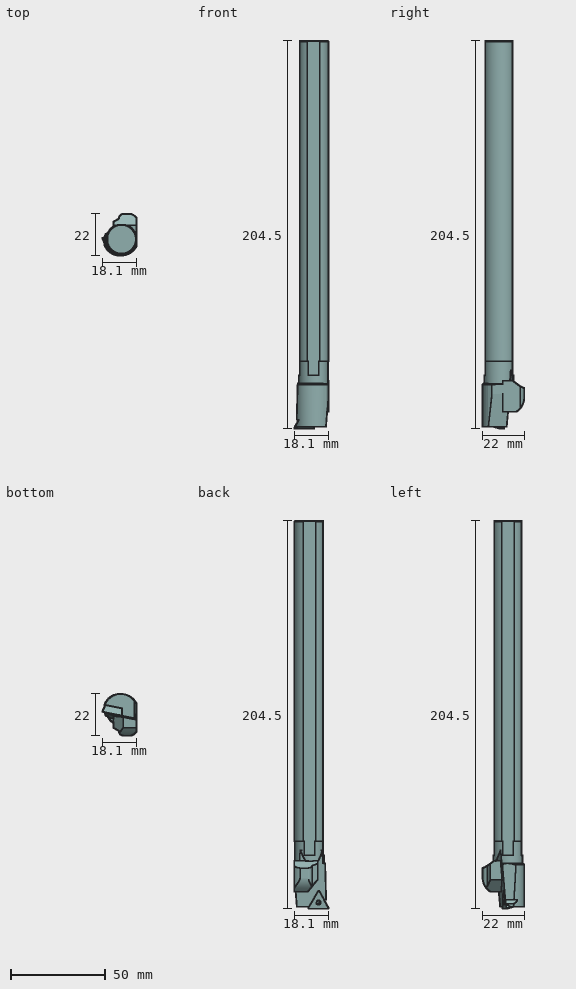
import cadquery as cq
import math

total_length = 204.5

shank_radius = 16.0 / 2
flat_distance = 14.5 / 2
shank_bottom = 35.5
top_chamfer = shank_radius - 15.1 / 2

neck_radius = 15.5 / 2
flat_bottom = 28.2
clamping_flat_angles = (90, 180, 270)

head_bottom = 1.0
head_top = 23.3
head_shoulder = 0.8
head_center_x = -0.8
head_radius = 17.4 / 2
heel_arc_middle = (2.7, -8.2)
heel_arc_end = (5.3, -6.7)
heel_facet_end = (6.5, -5.7)
heel_corner_y = -3.7
side_limit_x = 8.0
back_taper_start = 18.5
back_taper_inset = 1.33
front_flat_top_x = -8.4
front_flat_bottom_x = -9.0

tip_x = -10.5
tip_y = 0.6
rake_slope_x = 0.2
rake_slope_z = 0.08
pocket_end = 31.0
pocket_shoulder = 25.4
pocket_runout = 2.5
oversize = 24.5

lug_left = -4.3
overall_depth = 22.0
lug_top_y = overall_depth - head_radius
lug_base_y = 2.0
lug_left_end_y = 9.2
lug_slant_end = (-1.5, 10.8)
lug_left_round = (-0.6, 12.7)
lug_crest_start_x = 0.8
lug_crest_end_x = 5.0
lug_right_round = (6.7, 12.5)
lug_right_end_y = 11.2
lug_bottom = 9.0
lug_underside_y = 9.2
lug_belly = (12.5, 12.7)
lug_belly_top = 17.5
lug_crest_top = 21.5
lug_back = (10.2, 23.1)
lug_back_end_y = 7.4
undercut_top = 15.3
undercut_width = 5.1

insert_side = 11.5
corner_angle = math.radians(60)
insert_thickness = 3.9
insert_clearance = 11.0
insert_corner_radius = 0.5
insert_hole_diameter = 2.2
relief_top = 4.7
relief_wall_y = -5.0

rake_normal = cq.Vector(-rake_slope_x, 1, -rake_slope_z)
rake_along = cq.Vector(1, rake_slope_x, 0)
tip_point = (tip_x, tip_y, 0)
insert_plane = cq.Plane(origin=tip_point, xDir=rake_along, normal=-rake_normal)


def make_shank():
    shank = cq.Workplane().workplane(offset=shank_bottom).circle(shank_radius)
    shank = shank.extrude(total_length - shank_bottom).faces(">Z").chamfer(top_chamfer)
    neck = cq.Workplane().workplane(offset=head_top).circle(neck_radius).extrude(shank_bottom - head_top)
    body = shank.union(neck)
    for angle in clamping_flat_angles:
        flat = cq.Workplane().box(
            oversize, 2 * oversize, total_length, centered=(False, True, False)
        ).translate((flat_distance, 0, flat_bottom))
        body = body.cut(flat.rotate((0, 0, 0), (0, 0, 1), angle))
    return body


def make_head():
    round_part = (
        cq.Workplane().workplane(offset=head_bottom)
        .moveTo(head_center_x, head_radius)
        .threePointArc((head_center_x - head_radius, 0), (head_center_x, -head_radius))
        .threePointArc(heel_arc_middle, heel_arc_end)
        .lineTo(*heel_facet_end)
        .lineTo(side_limit_x, heel_corner_y)
        .lineTo(side_limit_x, head_radius)
        .close()
        .extrude(head_top - head_bottom)
    )
    shoulder = cq.Workplane(cq.Solid.makeCone(
        head_radius, neck_radius, head_shoulder, cq.Vector(head_center_x / 2, 0, head_top)
    ))
    side_limits = (
        cq.Workplane("XZ")
        .polyline([
            (front_flat_bottom_x, head_bottom),
            (side_limit_x - back_taper_inset, head_bottom),
            (side_limit_x, back_taper_start),
            (side_limit_x, head_top + head_shoulder),
            (front_flat_top_x, head_top + head_shoulder),
        ])
        .close()
        .extrude(oversize, both=True)
    )
    return round_part.union(shoulder).intersect(side_limits)


def make_chip_pocket():
    across = cq.Plane(origin=tip_point, xDir=rake_normal, normal=rake_along)
    return (
        cq.Workplane(across)
        .polyline([
            (0, -oversize),
            (0, pocket_end),
            (pocket_runout, pocket_shoulder),
            (oversize, pocket_shoulder),
            (oversize, -oversize),
        ])
        .close()
        .extrude(2 * oversize, both=True)
    )


def make_lug():
    plan = (
        cq.Workplane()
        .moveTo(lug_left, lug_base_y)
        .lineTo(lug_left, lug_left_end_y)
        .lineTo(*lug_slant_end)
        .threePointArc(lug_left_round, (lug_crest_start_x, lug_top_y))
        .lineTo(lug_crest_end_x, lug_top_y)
        .threePointArc(lug_right_round, (side_limit_x, lug_right_end_y))
        .lineTo(side_limit_x, lug_base_y)
        .close()
        .extrude(2 * oversize)
    )
    side = (
        cq.Workplane("YZ")
        .moveTo(lug_base_y, lug_bottom)
        .lineTo(lug_underside_y, lug_bottom)
        .threePointArc(lug_belly, (lug_top_y, lug_belly_top))
        .lineTo(lug_top_y, lug_crest_top)
        .threePointArc(lug_back, (lug_back_end_y, pocket_shoulder))
        .lineTo(lug_base_y, pocket_shoulder)
        .close()
        .extrude(oversize, both=True)
    )
    undercut = (
        cq.Workplane("XZ")
        .polyline([
            (lug_left, undercut_top),
            (lug_left + undercut_width, lug_bottom),
            (lug_left, lug_bottom),
        ])
        .close()
        .extrude(oversize, both=True)
    )
    return plan.intersect(side).cut(undercut)


def make_insert_blank():
    height = insert_side * math.sin(corner_angle)
    outline = (
        cq.Sketch()
        .polygon([(0, 0), (insert_side, 0), (insert_side / 2, height), (0, 0)])
        .vertices()
        .fillet(insert_corner_radius)
    )
    return cq.Workplane(insert_plane).placeSketch(outline).extrude(insert_thickness, taper=insert_clearance)


def make_flank_relief():
    edge_top_x = tip_x + relief_top / math.tan(corner_angle)
    return (
        cq.Workplane("XZ", origin=(0, relief_wall_y, 0))
        .polyline([(tip_x, 0), (edge_top_x, relief_top), (tip_x, relief_top)])
        .close()
        .extrude(-oversize)
    )


def make_insert():
    centroid_height = insert_side / (2 * math.sqrt(3))
    hole = (
        cq.Workplane(insert_plane)
        .center(insert_side / 2, centroid_height)
        .circle(insert_hole_diameter / 2)
        .extrude(insert_thickness)
    )
    return make_insert_blank().cut(hole)


def make_bar():
    body = make_shank().union(make_head()).cut(make_chip_pocket()).union(make_lug())
    return body.cut(make_flank_relief()).cut(make_insert_blank())


bar = make_bar()
insert = make_insert()

result = cq.Compound.makeCompound([bar.val(), insert.val()])